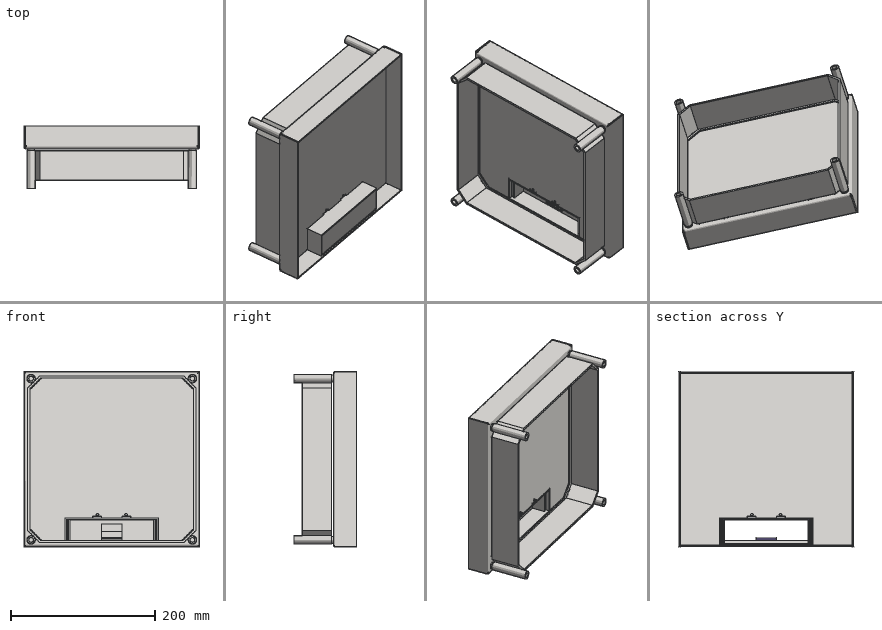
import cadquery as cq
import math


SIZE = 243.0
HOUSING_DEPTH = 32.2
SHEET = 1.8
BEND_RADIUS = 3.0
SEAM_GAP = 0.2
RELIEF_WIDTH = 1.2
RELIEF_LENGTH = 1.5
OPENING_CHAMFER = 16.6

FRAME_GAP = 2.3
FRAME_LENGTH = 41.0
FRAME_WIDTH = 233.0
FRAME_HEIGHT = 231.0
FRAME_WALL = 3.0
FRAME_CHAMFER = 16.9

POST_PITCH = 223.4
POST_DIAMETER = 11.7
POST_BORE = 6.5
POST_LENGTH = 52.5
NECK_DIAMETER = 10.0

PANEL_THICKNESS = 2.0
PANEL_SETBACK = 3.2
PANEL_CLEARANCE = 1.2
SLOT_WIDTH = 11.8
SLOT_HEIGHT = 2.0
SLOT_X = 20.2
HOLE_DIAMETER = 3.0
HOLE_X = 19.8
HOLE_Z = -76.7

BOX_WIDTH = 129.0
BOX_TOP = -81.2
BOX_WALL = 2.0
LINER_INNER_WIDTH = 115.2
LINER_WALL = 2.0
LINER_SLEEVE_WALL = 1.0
LINER_SETBACK = 5.0
RECESS_DEPTH = 24.0
CONNECTOR_WIDTH = 28.5
CONNECTOR_TOP = -90.0
CONNECTOR_STEP = -99.9
CONNECTOR_LEDGE = -108.5
CONNECTOR_BOTTOM = -112.0
CONNECTOR_UPPER_DEPTH = 0.5
CONNECTOR_LOWER_DEPTH = 1.0
CONNECTOR_LEDGE_DEPTH = 2.5
CONNECTOR_LEDGE_CHAMFER = 1.5

HALF = SIZE / 2
OPENING_WIDTH = FRAME_WIDTH - 2 * FRAME_WALL
OPENING_HEIGHT = FRAME_HEIGHT - 2 * FRAME_WALL
PANEL_FRONT = SHEET + PANEL_SETBACK
PANEL_BACK = PANEL_FRONT + PANEL_THICKNESS
PANEL_SIZE = SIZE - 2 * (SHEET + PANEL_CLEARANCE)
PANEL_BOTTOM = -PANEL_SIZE / 2
RECESS_BACK = PANEL_FRONT + RECESS_DEPTH
LINER_BACK = RECESS_BACK + LINER_WALL
BOX_FLOOR = PANEL_BOTTOM + BOX_WALL
SIDES = (-1, 1)


def block(x_range, y_range, z_range):
    """Box spanning the given ranges."""
    size = [end - start for start, end in (x_range, y_range, z_range)]
    corner = (x_range[0], y_range[0], z_range[0])
    return cq.Workplane("XY").box(*size, centered=False).translate(corner)


def cylinder(diameter, y_range, x, z):
    """Cylinder along Y."""
    start, end = y_range
    return cq.Workplane("XZ", origin=(x, start, z)).circle(diameter / 2).extrude(start - end)


def cut_corner_prism(width, height, chamfer, y_range):
    """Rectangular prism along Y with its four long edges chamfered."""
    half_width = width / 2
    half_height = height / 2
    prism = block((-half_width, half_width), y_range, (-half_height, half_height))
    return prism.edges("|Y").chamfer(chamfer)


def make_housing():
    inner = HALF - SHEET
    outer_block = block((-HALF, HALF), (0, HOUSING_DEPTH), (-HALF, HALF))
    cavity = block((-inner, inner), (SHEET, HOUSING_DEPTH), (-inner, inner))
    cavity = cavity.faces("<Y").edges().fillet(BEND_RADIUS - SHEET)
    housing = outer_block.faces("<Y").edges().fillet(BEND_RADIUS).cut(cavity)
    opening = cut_corner_prism(OPENING_WIDTH, OPENING_HEIGHT, OPENING_CHAMFER, (0, SHEET))
    housing = housing.cut(opening)
    for side_x in SIDES:
        for side_z in SIDES:
            z_range = sorted((side_z * inner, side_z * HALF))
            seam_x = sorted((side_x * inner, side_x * (inner - SEAM_GAP)))
            relief_x = sorted((side_x * inner, side_x * (inner - RELIEF_WIDTH)))
            seam = block(seam_x, (0, HOUSING_DEPTH), z_range)
            relief = block(relief_x, (BEND_RADIUS, BEND_RADIUS + RELIEF_LENGTH), z_range)
            housing = housing.cut(seam).cut(relief)
    return housing


def post_centers():
    return [(x * POST_PITCH / 2, z * POST_PITCH / 2) for x in SIDES for z in SIDES]


def make_post(x, z):
    neck = cylinder(NECK_DIAMETER, (-FRAME_GAP, 0), x, z)
    post_end = -FRAME_GAP - POST_LENGTH
    tube = cylinder(POST_DIAMETER, (post_end, -FRAME_GAP), x, z)
    bore = cylinder(POST_BORE, (post_end, -FRAME_GAP), x, z)
    return tube.cut(bore).union(neck)


def make_frame():
    y_range = (-FRAME_GAP - FRAME_LENGTH, -FRAME_GAP)
    inner_chamfer = FRAME_CHAMFER - FRAME_WALL * (2 - math.sqrt(2))
    frame = cut_corner_prism(FRAME_WIDTH, FRAME_HEIGHT, FRAME_CHAMFER, y_range)
    return frame.cut(cut_corner_prism(OPENING_WIDTH, OPENING_HEIGHT, inner_chamfer, y_range))


def make_panel():
    half = PANEL_SIZE / 2
    half_box = BOX_WIDTH / 2
    y_range = (PANEL_FRONT, PANEL_BACK)
    panel = block((-half, half), y_range, (-half, half))
    panel = panel.cut(block((-half_box, half_box), y_range, (PANEL_BOTTOM, BOX_TOP)))
    for side in SIDES:
        slot_start = side * SLOT_X - SLOT_WIDTH / 2
        slot_x = (slot_start, slot_start + SLOT_WIDTH)
        panel = panel.cut(block(slot_x, y_range, (BOX_TOP, BOX_TOP + SLOT_HEIGHT)))
        panel = panel.cut(cylinder(HOLE_DIAMETER, y_range, side * HOLE_X, HOLE_Z))
    return panel


def make_box():
    """Box walls, open at the front and the back."""
    half = BOX_WIDTH / 2
    inner = half - BOX_WALL
    y_range = (PANEL_FRONT, LINER_BACK)
    box = block((-half, half), y_range, (PANEL_BOTTOM, BOX_TOP))
    return box.cut(block((-inner, inner), y_range, (BOX_FLOOR, BOX_TOP - BOX_WALL)))


def make_liner():
    """Sleeve lining the box sides and top, with a back wall and two inner side walls."""
    half = BOX_WIDTH / 2 - BOX_WALL
    inner = half - LINER_SLEEVE_WALL
    top = BOX_TOP - BOX_WALL
    front = PANEL_FRONT + LINER_SETBACK
    y_range = (front, RECESS_BACK)
    z_range = (BOX_FLOOR, top - LINER_SLEEVE_WALL)
    liner = block((-half, half), (front, LINER_BACK), (BOX_FLOOR, top))
    liner = liner.cut(block((-inner, inner), y_range, z_range))
    for side in SIDES:
        inner_face = side * LINER_INNER_WIDTH / 2
        wall_x = sorted((inner_face, inner_face + side * LINER_WALL))
        liner = liner.union(block(wall_x, y_range, z_range))
    return liner


def make_connector():
    half = CONNECTOR_WIDTH / 2

    def tier(depth, bottom, top):
        return block((-half, half), (RECESS_BACK - depth, RECESS_BACK), (bottom, top))

    upper = tier(CONNECTOR_UPPER_DEPTH, CONNECTOR_STEP, CONNECTOR_TOP)
    lower = tier(CONNECTOR_LOWER_DEPTH, CONNECTOR_LEDGE, CONNECTOR_STEP)
    ledge = tier(CONNECTOR_LEDGE_DEPTH, CONNECTOR_BOTTOM, CONNECTOR_LEDGE)
    ledge = ledge.edges("<Y and >Z").chamfer(CONNECTOR_LEDGE_CHAMFER)
    return upper.union(lower).union(ledge)


housing = make_housing()
frame = make_frame()
posts = [make_post(x, z).val() for x, z in post_centers()]
panel = make_panel()
box = make_box()
liner = make_liner()
connector = make_connector()

result = cq.Compound.makeCompound([
    housing.val(),
    frame.val(),
    *posts,
    panel.val(),
    box.val(),
    liner.val(),
    connector.val(),
])